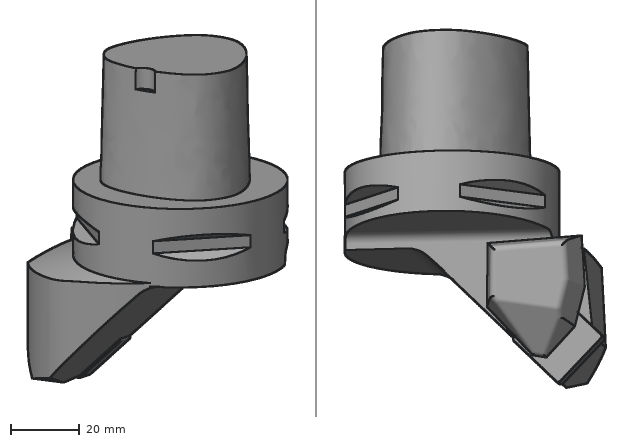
import cadquery as cq
import math

SHANK_HEIGHT = 38.1
SHANK_RADIUS = 22.1
SHANK_LOBE = 1.5
SHANK_FLATTENING = -0.2
SHANK_TAPER = 1 / 40
SHANK_POINTS = 48
NOTCH_DIAMETER = 7.9
NOTCH_DEPTH = 6.4
NOTCH_Y = -21.4

FLANGE_DIAMETER = 63.0
FLANGE_RADIUS = FLANGE_DIAMETER / 2
FLANGE_HEIGHT = 24.0
GROOVE_COUNT = 4
GROOVE_FLOOR_RADIUS = 27.9
GROOVE_FLOOR_WIDTH = 3.7
GROOVE_Z = -12.0
GROOVE_FLANK_ANGLE = 30

RAKE_SLOPE = 0.1
INSERT_TIP = (-32.0, 0.2, -64.8)
INSERT_SIDE = 19.1
INSERT_THICKNESS = 6.6
INSERT_CORNER_RADIUS = 1.0
RAKE_PLANE = cq.Plane(INSERT_TIP, (1, 0, -1), (-RAKE_SLOPE, 1, -RAKE_SLOPE))

HEAD_LEFT_END = (-43.7, -13.7)
HEAD_LEFT_ARC_MIDDLE = (-35.2, -26.2)
HEAD_LEFT_ARC_END = (-24.0, -33.8)
HEAD_BLEND_MIDDLE = (-20.8, -34.8)
HEAD_FRONT_Y = -35.3
HEAD_FLAT_START_X = -17.4
HEAD_FLAT_END_X = -11.5
HEAD_FRONT_RADIUS = 43.0
HEAD_INNER_X = 13.4
HEAD_REAR_Y = 20.5
HEAD_LEFT_CORNER = (-42.6, -51.2)
HEAD_LEFT_SLOPE = math.tan(math.radians(4.8))
HEAD_APEX = (-31.0, -62.9)
HEAD_RIGHT_ANGLE = 45
HEAD_ROOT_RADIUS = 8.7
SHOULDER_Z = -23.0
SHOULDER_ANGLE = 15
RELIEF_POINTS = ((HEAD_APEX[0], -15.1, HEAD_APEX[1]), (-34.4, -26.6, -59.4), (-24.0, -33.8, -56.0))

CLEARANCE_Z = -20.4
CLEARANCE_SLOPE = 0.074
CLEARANCE_ROOT = (0, 7.2, CLEARANCE_Z)
CLEARANCE_RADIUS = 3.1

BOSS_BASE_Y = 1.0
BOSS_OUTLINE = (
    (-40.9, -20.5),
    (-40.9, -36.6),
    (-37.4, -48.2),
    (-28.7, -57.2),
    (-24.6, -56.6),
    (-10.2, -42.2),
    (-10.2, -21.1),
)
BOSS_REACH = 16.4
BOSS_TAPER = 20
BOSS_THICKNESS = 8.5
BOSS_BEVEL_POINT = (0, 12.1, -42.4)
BOSS_BEVEL_NORMAL = (0, 13.2, -9.1)
BOSS_RADIUS = 2.0

BIG = 205.0


def shank_section(radius, z):
    """Closed three-lobed curve with one lobe pointing to +Y."""
    points = []
    for i in range(SHANK_POINTS):
        turn = 2 * math.pi * i / SHANK_POINTS
        reach = radius + SHANK_LOBE * math.cos(3 * turn) + SHANK_FLATTENING * math.cos(6 * turn)
        slide = -3 * SHANK_LOBE * math.sin(3 * turn) - 6 * SHANK_FLATTENING * math.sin(6 * turn)
        x = -reach * math.sin(turn) - slide * math.cos(turn)
        y = reach * math.cos(turn) - slide * math.sin(turn)
        points.append(cq.Vector(x, y, z))
    return cq.Wire.assembleEdges([cq.Edge.makeSpline(points, periodic=True)])


def make_shank():
    top_radius = SHANK_RADIUS - SHANK_TAPER * SHANK_HEIGHT
    sections = [shank_section(SHANK_RADIUS, 0), shank_section(top_radius, SHANK_HEIGHT)]
    shank = cq.Workplane(cq.Solid.makeLoft(sections))
    notch = (
        cq.Workplane("XY", origin=(0, NOTCH_Y, SHANK_HEIGHT))
        .circle(NOTCH_DIAMETER / 2)
        .extrude(-NOTCH_DEPTH)
    )
    return shank.cut(notch)


def make_flange():
    flange = cq.Workplane("XY").circle(FLANGE_RADIUS).extrude(-FLANGE_HEIGHT)
    depth = FLANGE_RADIUS - GROOVE_FLOOR_RADIUS
    floor = GROOVE_FLOOR_WIDTH / 2
    mouth = floor + depth * math.tan(math.radians(GROOVE_FLANK_ANGLE))
    groove = (
        cq.Workplane("XZ", origin=(0, 0, GROOVE_Z))
        .polyline([
            (GROOVE_FLOOR_RADIUS, -floor),
            (FLANGE_RADIUS, -mouth),
            (FLANGE_RADIUS, mouth),
            (GROOVE_FLOOR_RADIUS, floor),
        ])
        .close()
        .extrude(FLANGE_RADIUS, both=True)
    )
    step = 360 / GROOVE_COUNT
    for i in range(GROOVE_COUNT):
        flange = flange.cut(groove.rotate((0, 0, 0), (0, 0, 1), step * (i + 0.5)))
    return flange


def head_plan():
    """Vertical prism with the rounded outline of the head."""
    run = HEAD_INNER_X - HEAD_FLAT_END_X
    inner_y = HEAD_FRONT_Y + HEAD_FRONT_RADIUS - math.sqrt(HEAD_FRONT_RADIUS**2 - run**2)
    return (
        cq.Workplane("XY")
        .moveTo(*HEAD_LEFT_END)
        .threePointArc(HEAD_LEFT_ARC_MIDDLE, HEAD_LEFT_ARC_END)
        .threePointArc(HEAD_BLEND_MIDDLE, (HEAD_FLAT_START_X, HEAD_FRONT_Y))
        .lineTo(HEAD_FLAT_END_X, HEAD_FRONT_Y)
        .tangentArcPoint((HEAD_INNER_X, inner_y), relative=False)
        .lineTo(HEAD_INNER_X, HEAD_REAR_Y)
        .lineTo(HEAD_LEFT_END[0], HEAD_REAR_Y)
        .close()
        .extrude(-BIG)
    )


def head_profile():
    """Prism along Y with the pointed profile of the head."""
    left_x, left_z = HEAD_LEFT_CORNER
    apex_x, apex_z = HEAD_APEX
    right_slope = math.tan(math.radians(HEAD_RIGHT_ANGLE))
    root_x = apex_x - (FLANGE_HEIGHT + apex_z) / right_slope
    tangent = HEAD_ROOT_RADIUS * math.tan(math.radians(HEAD_RIGHT_ANGLE / 2))
    retreat = tangent * math.cos(math.radians(HEAD_RIGHT_ANGLE))
    drop = tangent * math.sin(math.radians(HEAD_RIGHT_ANGLE))
    return (
        cq.Workplane("XZ")
        .moveTo(left_x - left_z * HEAD_LEFT_SLOPE, 0)
        .lineTo(left_x, left_z)
        .lineTo(apex_x, apex_z)
        .lineTo(root_x - retreat, -FLANGE_HEIGHT - drop)
        .tangentArcPoint((root_x + tangent, -FLANGE_HEIGHT), relative=False)
        .lineTo(root_x + tangent, 0)
        .close()
        .extrude(BIG / 2, both=True)
    )


def under_shoulder():
    """Everything below the conical shoulder."""
    edge_z = SHOULDER_Z - (BIG - FLANGE_RADIUS) * math.tan(math.radians(SHOULDER_ANGLE))
    return (
        cq.Workplane("XZ")
        .polyline([(0, SHOULDER_Z), (FLANGE_RADIUS, SHOULDER_Z), (BIG, edge_z), (BIG, -BIG), (0, -BIG)])
        .close()
        .revolve(360, (0, 0), (0, 1))
    )


def relief_cut():
    """Half-space below the flat that breaks the lower front corner of the head."""
    apex, left, right = [cq.Vector(*point) for point in RELIEF_POINTS]
    normal = (left - apex).cross(right - apex)
    if normal.z > 0:
        normal = -normal
    return cq.Workplane(cq.Plane(apex, right - left, normal)).rect(BIG, BIG).extrude(BIG)


def make_head():
    head = head_plan().intersect(head_profile()).intersect(under_shoulder())
    return head.cut(relief_cut())


def rear_clearance():
    """Space behind the rake face and below the sloping ceiling."""
    behind = cq.Workplane(RAKE_PLANE).rect(BIG, BIG).extrude(BIG)
    rise = CLEARANCE_SLOPE * BIG
    below = (
        cq.Workplane("YZ")
        .polyline([(-BIG, CLEARANCE_Z - rise), (BIG, CLEARANCE_Z + rise), (BIG, -BIG), (-BIG, -BIG)])
        .close()
        .extrude(BIG / 2, both=True)
    )
    root = cq.selectors.NearestToPointSelector(CLEARANCE_ROOT)
    return behind.intersect(below).edges(root).fillet(CLEARANCE_RADIUS)


def make_boss():
    """Tapered block with a rear face parallel to the rake face and a bevelled lower end."""
    base = cq.Plane((0, BOSS_BASE_Y, 0), (-1, 0, 0), (0, 1, 0))
    boss = (
        cq.Workplane(base)
        .polyline([(-x, z) for x, z in BOSS_OUTLINE])
        .close()
        .extrude(BOSS_REACH, taper=BOSS_TAPER)
    )
    rear = cq.Workplane(RAKE_PLANE).workplane(offset=BOSS_THICKNESS).rect(BIG, BIG).extrude(BIG)
    boss = boss.cut(rear)
    bevel_plane = cq.Plane(BOSS_BEVEL_POINT, (1, 0, 0), BOSS_BEVEL_NORMAL)
    boss = boss.cut(cq.Workplane(bevel_plane).rect(BIG, BIG).extrude(BIG))
    rear_face = cq.selectors.ParallelDirSelector(RAKE_PLANE.zDir)
    bevel_face = cq.selectors.ParallelDirSelector(bevel_plane.zDir)
    boss = boss.faces(cq.selectors.SumSelector(rear_face, bevel_face)).edges().fillet(BOSS_RADIUS)
    return boss.intersect(cq.Workplane(RAKE_PLANE).rect(BIG, BIG).extrude(BIG))


def make_insert():
    return (
        cq.Workplane(RAKE_PLANE)
        .rect(-INSERT_SIDE, -INSERT_SIDE, centered=False)
        .extrude(-INSERT_THICKNESS)
        .edges(cq.selectors.ParallelDirSelector(RAKE_PLANE.zDir))
        .fillet(INSERT_CORNER_RADIUS)
    )


insert = make_insert()
holder = make_flange().union(make_head()).cut(rear_clearance())
holder = holder.union(make_shank()).union(make_boss()).cut(insert)

result = cq.Compound.makeCompound([*holder.vals(), insert.val()])